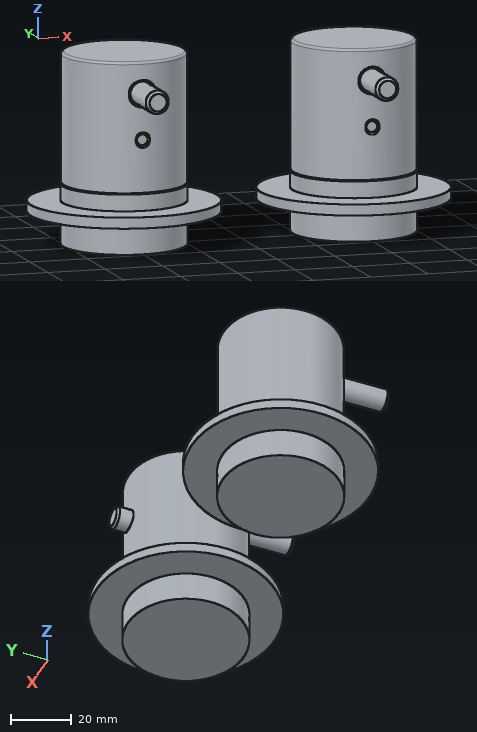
import cadquery as cq

flange_diameter = 65.0
overall_length = 145.0
pitch = overall_length - flange_diameter
total_height = 65.2

collar_diameter = 42.3
collar_height = 20.5
flange_bottom = 11.0
flange_thickness = 3.8

knob_diameter = 42.0
knob_radius = knob_diameter / 2
knob_height = total_height - collar_height
knob_top_fillet = 0.9
knob_bottom_chamfer = 0.5

lever_diameter = 8.0
lever_height = 54.4
lever_tip = 38.0
lever_chamfer = 1.0
lever_seat_depth = 7.2
lever_recess_diameter = 9.3
lever_recess_depth = 1.2

screw_hole_height = 38.7
screw_mouth_diameter = 5.2
screw_floor_diameter = 3.8
screw_hole_depth = 0.7

button_height = 44.8
button_tip = 26.4
button_chamfer = 0.9
button_diameter = lever_diameter


def front_cylinder(diameter, y_start, y_end, height):
    """Cylinder along Y, running from y_start to the larger y_end at the given Z."""
    plane = cq.Plane(origin=(0, y_start, height), xDir=(1, 0, 0), normal=(0, 1, 0))
    return cq.Workplane(plane).circle(diameter / 2).extrude(y_end - y_start)


def make_collar():
    return cq.Workplane("XY").circle(collar_diameter / 2).extrude(collar_height)


def make_flange():
    return (
        cq.Workplane("XY")
        .workplane(offset=flange_bottom)
        .circle(flange_diameter / 2)
        .circle(collar_diameter / 2)
        .extrude(flange_thickness)
    )


def make_lever():
    seat_floor = lever_seat_depth - knob_radius
    lever = front_cylinder(lever_diameter, -lever_tip, seat_floor, lever_height)
    return lever.faces("<Y").chamfer(lever_chamfer)


def make_screw_recess():
    """Tapered blind hole that narrows toward its flat floor."""
    mouth_plane = cq.Plane(
        origin=(0, -knob_radius, screw_hole_height), xDir=(1, 0, 0), normal=(0, 1, 0)
    )
    return (
        cq.Workplane(mouth_plane)
        .circle(screw_mouth_diameter / 2)
        .workplane(offset=screw_hole_depth)
        .circle(screw_floor_diameter / 2)
        .loft(ruled=True)
    )


def make_button():
    button = front_cylinder(button_diameter, 0, button_tip, button_height)
    return button.faces(">Y").chamfer(button_chamfer)


def make_knob(has_button):
    knob = (
        cq.Workplane("XY")
        .workplane(offset=collar_height)
        .circle(knob_radius)
        .extrude(knob_height)
        .faces(">Z")
        .edges()
        .fillet(knob_top_fillet)
        .faces("<Z")
        .edges()
        .chamfer(knob_bottom_chamfer)
    )
    recess_floor = lever_recess_depth - knob_radius
    knob = knob.cut(front_cylinder(lever_recess_diameter, -knob_radius, recess_floor, lever_height))
    knob = knob.cut(make_lever())
    knob = knob.cut(make_screw_recess())
    if has_button:
        knob = knob.union(make_button())
    return knob


bodies = []
for x_center, has_button in ((-pitch / 2, False), (pitch / 2, True)):
    for body in (make_collar(), make_flange(), make_knob(has_button), make_lever()):
        bodies.append(body.translate((x_center, 0, 0)).val())

result = cq.Compound.makeCompound(bodies)